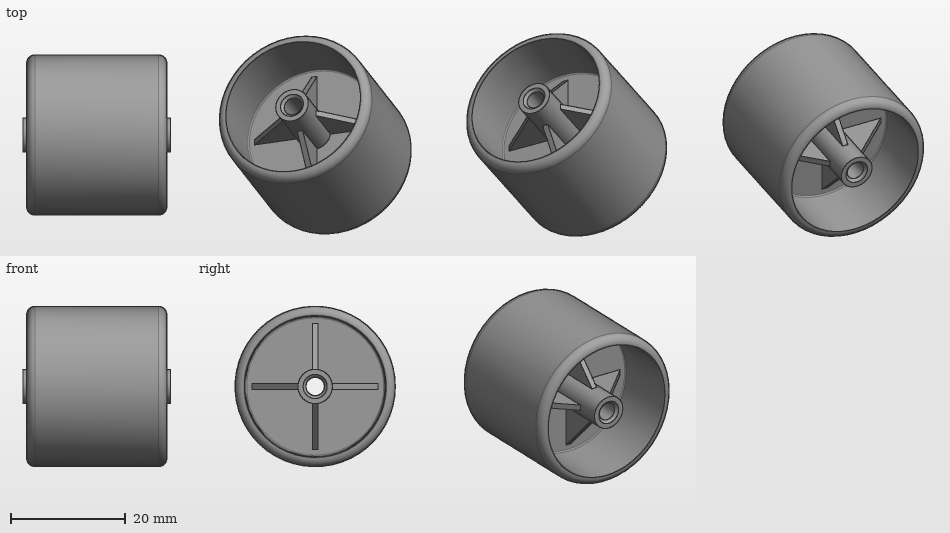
import cadquery as cq

outer_radius = 14.0
rim_width = 24.5
hub_length = 25.8
edge_round = 1.5

web_thickness = 1.0
mouth_radius = 12.38
root_radius = 12.18
root_fillet = 0.22

hub_radius = 3.0
bore_radius = 1.6
bore_chamfer = 0.5

rib_thickness = 1.0
rib_tip_radius = 11.0
rib_height = rib_tip_radius - hub_radius
rib_count = 4

rim_half = rim_width / 2
web_half = web_thickness / 2
hub_half = hub_length / 2


def make_cylinder(radius, length):
    """Cylinder along X, centred on the origin."""
    return cq.Workplane("YZ", origin=(-length / 2, 0, 0)).circle(radius).extrude(length)


def make_rim_and_web():
    """Solid wheel with rounded edges, hollowed by a tapered recess on each side."""
    wheel = make_cylinder(outer_radius, rim_width)
    wheel = wheel.edges("%CIRCLE").fillet(edge_round)
    recess = (
        cq.Workplane("XY")
        .moveTo(web_half, 0)
        .lineTo(web_half, root_radius)
        .lineTo(rim_half, mouth_radius)
        .lineTo(rim_half, 0)
        .close()
        .revolve(360, (0, 0, 0), (1, 0, 0))
        .edges("<X")
        .fillet(root_fillet)
    )
    return wheel.cut(recess).cut(recess.mirror("YZ"))


def make_rib_pair():
    """Ribs on both sides of the web at one angle, sloping from hub to web."""
    return (
        cq.Workplane("XY")
        .moveTo(-web_half - rib_height, 0)
        .lineTo(-web_half - rib_height, hub_radius)
        .lineTo(-web_half, rib_tip_radius)
        .lineTo(web_half, rib_tip_radius)
        .lineTo(web_half + rib_height, hub_radius)
        .lineTo(web_half + rib_height, 0)
        .close()
        .extrude(rib_thickness / 2, both=True)
    )


def make_bore():
    """Through bore flared by a chamfer at both ends."""
    flare_radius = bore_radius + bore_chamfer
    return (
        cq.Workplane("XY")
        .moveTo(-hub_half, 0)
        .lineTo(-hub_half, flare_radius)
        .lineTo(-hub_half + bore_chamfer, bore_radius)
        .lineTo(hub_half - bore_chamfer, bore_radius)
        .lineTo(hub_half, flare_radius)
        .lineTo(hub_half, 0)
        .close()
        .revolve(360, (0, 0, 0), (1, 0, 0))
    )


result = make_rim_and_web()
result = result.union(make_cylinder(hub_radius, hub_length))
for index in range(rib_count):
    angle = index * 360 / rib_count
    result = result.union(make_rib_pair().rotate((0, 0, 0), (1, 0, 0), angle))
result = result.cut(make_bore())